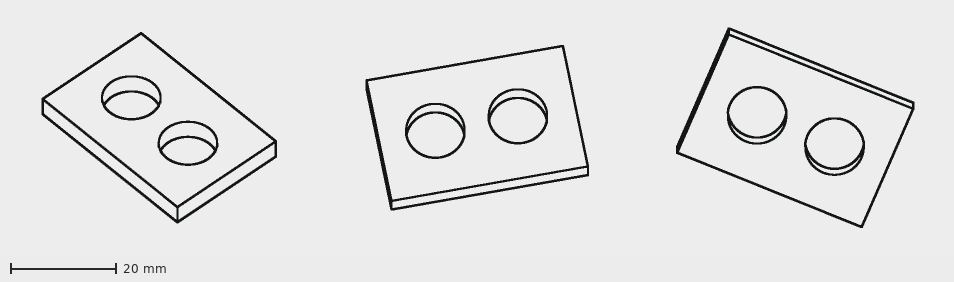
import cadquery as cq

length = 38.1
width = 25.4
thickness = 4.25

hole_diameter = 11.15
hole_spacing = 16.0
first_hole_from_left = 11.15

first_hole_x = first_hole_from_left - length / 2
hole_centres = [(first_hole_x, 0), (first_hole_x + hole_spacing, 0)]

plate = cq.Workplane("XY").box(length, width, thickness)
result = plate.faces(">Z").workplane().pushPoints(hole_centres).hole(hole_diameter)